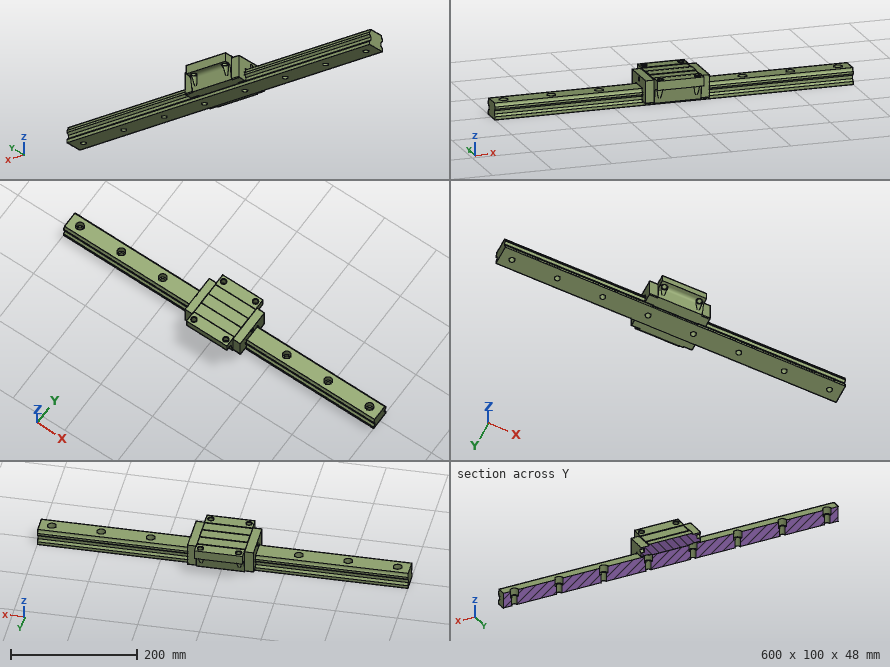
import cadquery as cq

rail_length = 600.0
rail_height = 27.5
rail_width = 34.0
rail_top_width = 29.0
rail_neck_width = 27.0
rail_groove_bottom = 21.5
rail_head_bottom = 18.0
rail_neck_top = 14.5
rail_neck_bottom = 9.0
rail_foot_top = 5.5
groove_sag = 0.9

rail_hole_count = 8
end_margin_in_pitches = 0.25
rail_hole_pitch = rail_length / (rail_hole_count - 1 + 2 * end_margin_in_pitches)
rail_hole_diameter = 9.0
counterbore_diameter = 14.0
counterbore_depth = 12.0

total_height = 48.0
flange_width = 100.0
flange_bottom = 33.0
body_length = 78.0
body_bottom = 7.0
body_root_width = 77.0
body_bottom_width = 68.5
root_fillet_radius = 6.5

strip_pitch = 20.0
channel_depth = 1.0

carriage_length = 107.0
cap_width = 67.0
cap_drop = 2.5
cap_chamfer = 1.5
cap_clearance = 1.0
grease_hole_diameter = 6.0
grease_hole_height = 39.0
grease_hole_depth = 6.0

bolt_hole_diameter = 8.5
countersink_diameter = 10.0
spotface_diameter = 11.5
bolt_spacing_x = 62.0
bolt_spacing_y = 82.0


def rail_profile():
    """Rail cross-section with a concave ball groove along each top corner."""
    half_width = rail_width / 2
    half_top = rail_top_width / 2
    half_neck = rail_neck_width / 2
    right_side = [
        (half_width, rail_head_bottom),
        (half_neck, rail_neck_top),
        (half_neck, rail_neck_bottom),
        (half_width, rail_foot_top),
        (half_width, 0),
    ]
    left_side = [(-y, z) for y, z in reversed(right_side)]
    return (
        cq.Workplane("YZ")
        .moveTo(-half_top, rail_height)
        .lineTo(half_top, rail_height)
        .sagittaArc((half_width, rail_groove_bottom), -groove_sag)
        .polyline(right_side + left_side, includeCurrent=True)
        .lineTo(-half_width, rail_groove_bottom)
        .sagittaArc((-half_top, rail_height), -groove_sag)
        .close()
    )


def make_rail():
    hole_row_length = (rail_hole_count - 1) * rail_hole_pitch
    hole_places = [(i * rail_hole_pitch - hole_row_length / 2, 0) for i in range(rail_hole_count)]
    return (
        rail_profile()
        .extrude(rail_length / 2, both=True)
        .faces(">Z")
        .workplane(origin=(0, 0, rail_height))
        .pushPoints(hole_places)
        .cboreHole(rail_hole_diameter, counterbore_diameter, counterbore_depth)
    )


def make_body_block():
    """Flanged centre block with sloping sides, fitting closely around the rail."""
    half_root = body_root_width / 2
    right_side = [
        (flange_width / 2, total_height),
        (flange_width / 2, flange_bottom),
        (half_root, flange_bottom),
        (body_bottom_width / 2, body_bottom),
    ]
    left_side = [(-y, z) for y, z in reversed(right_side)]
    block = cq.Workplane("YZ").polyline(right_side + left_side).close().extrude(body_length / 2, both=True)
    for side in (-1, 1):
        root_edge = cq.selectors.NearestToPointSelector((0, side * half_root, flange_bottom))
        block = block.edges(root_edge).fillet(root_fillet_radius)
    return block.cut(rail_profile().extrude(body_length / 2, both=True))


def make_top_channels():
    return (
        cq.Workplane("XY", origin=(0, 0, total_height - channel_depth))
        .pushPoints([(0, -strip_pitch), (0, strip_pitch)])
        .rect(body_length, strip_pitch)
        .extrude(channel_depth)
    )


def make_bolt_holes():
    """Countersunk flange holes, opened out below the flange for the bolt heads."""
    hole_radius = bolt_hole_diameter / 2
    countersink_radius = countersink_diameter / 2
    countersink_depth = countersink_radius - hole_radius
    spotface_radius = spotface_diameter / 2
    half_section = [
        (0, 0),
        (spotface_radius, 0),
        (spotface_radius, flange_bottom),
        (hole_radius, flange_bottom),
        (hole_radius, total_height - countersink_depth),
        (countersink_radius, total_height),
        (0, total_height),
    ]
    hole = cq.Workplane("XZ").polyline(half_section).close().revolve(360, (0, 0), (0, 1)).val()
    return (
        cq.Workplane("XY")
        .rect(bolt_spacing_x, bolt_spacing_y, forConstruction=True)
        .vertices()
        .eachpoint(lambda place: hole.moved(place))
    )


def make_end_cap(side):
    """End cap on the -X (side = -1) or +X (side = 1) end, with rail opening and blind grease hole."""
    cap_length = (carriage_length - body_length) / 2
    cap_height = total_height - cap_drop - body_bottom
    inner_end = side * body_length / 2
    outer_end = side * carriage_length / 2
    cap = (
        cq.Workplane("XY")
        .box(cap_length, cap_width, cap_height, centered=(True, True, False))
        .edges("|X and <Z")
        .chamfer(cap_chamfer)
        .translate(((inner_end + outer_end) / 2, 0, body_bottom))
    )
    rail_opening = (
        rail_profile()
        .offset2D(cap_clearance, "intersection")
        .extrude(side * cap_length)
        .translate((inner_end, 0, 0))
    )
    grease_hole = (
        cq.Workplane("YZ", origin=(outer_end, 0, grease_hole_height))
        .circle(grease_hole_diameter / 2)
        .extrude(-side * grease_hole_depth)
    )
    return cap.cut(rail_opening).cut(grease_hole)


def make_carriage():
    carriage = make_body_block().cut(make_top_channels()).cut(make_bolt_holes())
    for side in (-1, 1):
        carriage = carriage.union(make_end_cap(side))
    return carriage


rail = make_rail()
carriage = make_carriage()

result = cq.Compound.makeCompound([*rail.solids().vals(), *carriage.solids().vals()])